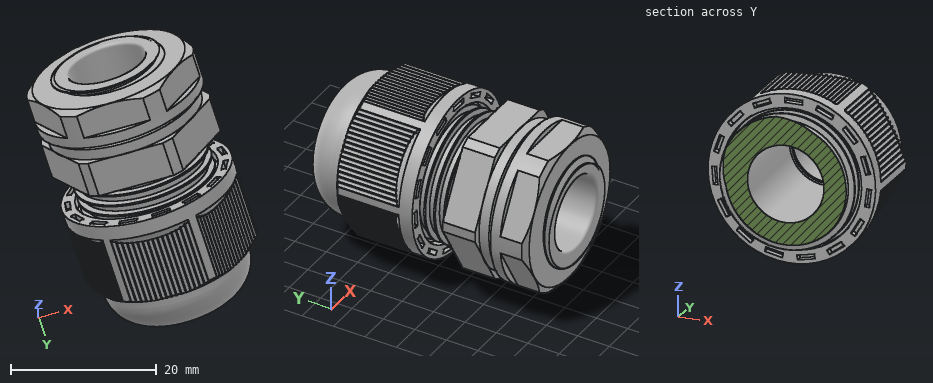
import cadquery as cq
import math


HEX_SIDES = 6
HEX_STEP = 360.0 / HEX_SIDES

TAIL_END = 0.0
NUT_BOTTOM = 1.1
NUT_WASHER = 5.13
NUT_TOP = 6.67
COLLAR_BOTTOM = 7.47
BODY_HEX_BOTTOM = 9.04
BODY_HEX_TOP = 14.16
FLANGE_BOTTOM = 18.9
FLANGE_TOP = 21.04
GRIP_TOP = 31.67
CAP_TOP = 37.92

BORE_R = 5.57
BORE_ENTRY_FILLET = 0.5
LIP_R = 5.12
LIP_LENGTH = 5.0
LIP_LEDGE_R = 5.36

TAIL_ROOT_R = 7.14
TAIL_CREST_R = 8.03
TAIL_PITCH = 1.5
TAIL_BASE_WIDTH = 1.2
TAIL_CREST_WIDTH = 0.15
TAIL_CREST_HEIGHT = 1.17

NUT_R = 11.94
NUT_FLAT = 10.96
NUT_CHAMFER_R = 10.94
NUT_CHAMFER_HEIGHT = 0.6

COLLAR_R = 10.99
BODY_FLAT = 10.86
BODY_CORNER = 12.08

NECK_R = 8.89
NECK_CREST_R = 9.74
NECK_PITCH = 1.57
NECK_BASE_WIDTH = 0.55
NECK_CREST_WIDTH = 0.25
NECK_CREST_HEIGHT = 17.63

CAP_ANGLE = 1.3
FLANGE_R = 12.3
DOME_R = 10.53
DOME_FILLET = 5.0
GRIP_LAND_HALF_ANGLE = 3.0
GRIP_FLAT_HALF_ANGLE = HEX_STEP / 2 - GRIP_LAND_HALF_ANGLE
GRIP_FLAT = FLANGE_R * math.cos(math.radians(GRIP_FLAT_HALF_ANGLE))
GRIP_CHAMFER_HEIGHT = 0.92
SHOULDER_HEIGHT = 1.6
SHOULDER_BULGE = 0.15
GROOVES_PER_FLAT = 16
GROOVE_DEPTH = 0.25
RIDGE_WIDTH = 0.15

RECESS_R = 10.25
RECESS_DEPTH = 1.5

SLOT_COUNT = 15
SLOT_R = 11.29
SLOT_LENGTH = 2.6
SLOT_WIDTH = 0.68
SLOT_DEPTH = 1.0

FUSE_OVERLAP = 0.2
TRIM_MARGIN = 1.0
DIAGONAL = math.sqrt(0.5)


def disc(radius, bottom, top):
    return cq.Workplane("XY").workplane(offset=bottom).circle(radius).extrude(top - bottom)


def hexagon(flat, bottom, top, turn=0.0):
    """Hexagonal prism with flats facing +Y and -Y, turned about its axis."""
    corner_diameter = 2 * flat / math.cos(math.radians(HEX_STEP / 2))
    prism = cq.Workplane("XY").workplane(offset=bottom).polygon(HEX_SIDES, corner_diameter)
    return prism.extrude(top - bottom).rotate((0, 0, 0), (0, 0, 1), turn)


def revolved(points):
    """Solid of revolution from an outline of (radius, height) points."""
    return cq.Workplane("XZ").polyline(points).close().revolve(360, (0, 0, 0), (0, 1, 0))


def polar(radius, angle):
    return (radius * math.cos(math.radians(angle)), radius * math.sin(math.radians(angle)))


def on_flat(distance, along, facing):
    """Point at a distance from the axis and a run along a flat that faces the given angle."""
    return polar(math.hypot(distance, along), facing + math.degrees(math.atan2(along, distance)))


def threaded_rod(
    root_r, crest_r, pitch, base_width, crest_width, crest_height, bottom, top, left_handed=False
):
    """Rod with a helical ridge of trapezoid section, centred at crest_height on the +X side."""
    turns_below = math.ceil((crest_height - bottom) / pitch) + 1
    turns = turns_below + math.ceil((top - crest_height) / pitch) + 1
    start = crest_height - turns_below * pitch
    flank_slope = (base_width - crest_width) / (crest_r - root_r) / 2
    half_crest = crest_width / 2
    half_foot = base_width / 2 + flank_slope * FUSE_OVERLAP
    foot_r = root_r - FUSE_OVERLAP
    helix = cq.Wire.makeHelix(pitch, turns * pitch, foot_r, lefthand=left_handed)
    path = cq.Workplane(obj=helix.moved(cq.Location(cq.Vector(0, 0, start))))
    section = [
        (foot_r, start - half_foot),
        (crest_r, start - half_crest),
        (crest_r, start + half_crest),
        (foot_r, start + half_foot),
    ]
    ridge = cq.Workplane("XZ").polyline(section).close().sweep(path, isFrenet=True)
    rod = disc(root_r, start - pitch, start + (turns + 1) * pitch).union(ridge)
    return rod.intersect(disc(crest_r + TRIM_MARGIN, bottom, top))


def make_tail():
    return threaded_rod(
        TAIL_ROOT_R, TAIL_CREST_R, TAIL_PITCH, TAIL_BASE_WIDTH, TAIL_CREST_WIDTH,
        TAIL_CREST_HEIGHT, TAIL_END, COLLAR_BOTTOM,
    )


def make_nut():
    """Round washer face above a hexagon whose corners are turned and chamfered."""
    blank = revolved([
        (0, NUT_BOTTOM),
        (NUT_CHAMFER_R, NUT_BOTTOM),
        (NUT_R, NUT_BOTTOM + NUT_CHAMFER_HEIGHT),
        (NUT_R, NUT_TOP),
        (0, NUT_TOP),
    ])
    washer_zone = disc(NUT_R + TRIM_MARGIN, NUT_WASHER, NUT_TOP)
    return blank.intersect(hexagon(NUT_FLAT, NUT_BOTTOM, NUT_WASHER).union(washer_zone))


def make_body():
    collar = disc(COLLAR_R, COLLAR_BOTTOM, BODY_HEX_BOTTOM)
    corner_cut = hexagon(BODY_CORNER, BODY_HEX_BOTTOM, BODY_HEX_TOP, turn=HEX_STEP / 2)
    body = hexagon(BODY_FLAT, BODY_HEX_BOTTOM, BODY_HEX_TOP).intersect(corner_cut)
    return collar.union(body)


def make_neck():
    return threaded_rod(
        NECK_R, NECK_CREST_R, NECK_PITCH, NECK_BASE_WIDTH, NECK_CREST_WIDTH,
        NECK_CREST_HEIGHT, BODY_HEX_TOP, FLANGE_BOTTOM + RECESS_DEPTH, left_handed=True,
    )


def make_grip_prism():
    """Prism with six grooved flats separated by smooth round strips."""
    half_flat = FLANGE_R * math.sin(math.radians(GRIP_FLAT_HALF_ANGLE))
    groove_pitch = 2 * half_flat / GROOVES_PER_FLAT
    groove_half_width = (groove_pitch - RIDGE_WIDTH) / 2
    outline = cq.Workplane("XY").workplane(offset=FLANGE_TOP)
    outline = outline.moveTo(*polar(FLANGE_R, -GRIP_FLAT_HALF_ANGLE))
    for side in range(HEX_SIDES):
        facing = side * HEX_STEP
        for groove in range(GROOVES_PER_FLAT):
            middle = -half_flat + (groove + 0.5) * groove_pitch
            outline = outline.lineTo(*on_flat(GRIP_FLAT, middle - groove_half_width, facing))
            outline = outline.threePointArc(
                on_flat(GRIP_FLAT - GROOVE_DEPTH, middle, facing),
                on_flat(GRIP_FLAT, middle + groove_half_width, facing),
            )
        outline = outline.lineTo(*polar(FLANGE_R, facing + GRIP_FLAT_HALF_ANGLE))
        strip_middle = facing + HEX_STEP / 2
        outline = outline.threePointArc(
            polar(FLANGE_R, strip_middle),
            polar(FLANGE_R, strip_middle + GRIP_LAND_HALF_ANGLE),
        )
    prism = outline.close().extrude(GRIP_TOP - FLANGE_TOP)
    return prism.rotate((0, 0, 0), (0, 0, 1), HEX_STEP / 2)


def make_barrel():
    """Round flange and chamfered grip, with a domed shoulder at the foot of the grooves."""
    blank = revolved([
        (0, FLANGE_BOTTOM),
        (FLANGE_R, FLANGE_BOTTOM),
        (FLANGE_R, GRIP_TOP - GRIP_CHAMFER_HEIGHT),
        (GRIP_FLAT, GRIP_TOP),
        (0, GRIP_TOP),
    ])
    flange_zone = disc(FLANGE_R + TRIM_MARGIN, FLANGE_BOTTOM, FLANGE_TOP)
    shoulder_top_r = GRIP_FLAT - GROOVE_DEPTH
    shoulder_top = FLANGE_TOP + SHOULDER_HEIGHT
    bulge_offset = SHOULDER_BULGE * DIAGONAL
    bulge_r = (FLANGE_R + shoulder_top_r) / 2 + bulge_offset
    bulge_height = (FLANGE_TOP + shoulder_top) / 2 + bulge_offset
    shoulder = (
        cq.Workplane("XZ")
        .moveTo(0, FLANGE_TOP)
        .lineTo(FLANGE_R, FLANGE_TOP)
        .threePointArc((bulge_r, bulge_height), (shoulder_top_r, shoulder_top))
        .lineTo(0, shoulder_top)
        .close()
        .revolve(360, (0, 0, 0), (0, 1, 0))
    )
    return blank.intersect(make_grip_prism().union(flange_zone)).union(shoulder)


def make_slots():
    return (
        cq.Workplane("XY")
        .workplane(offset=FLANGE_BOTTOM)
        .polarArray(SLOT_R, -90, 360, SLOT_COUNT)
        .rect(SLOT_WIDTH, SLOT_LENGTH)
        .extrude(SLOT_DEPTH)
    )


def make_cap():
    dome = disc(DOME_R, FLANGE_TOP, CAP_TOP).faces(">Z").edges().fillet(DOME_FILLET)
    recess = disc(RECESS_R, FLANGE_BOTTOM, FLANGE_BOTTOM + RECESS_DEPTH)
    cap = make_barrel().union(dome).cut(make_slots()).cut(recess)
    return cap.rotate((0, 0, 0), (0, 0, 1), CAP_ANGLE)


def make_bore():
    """Through hole with a rounded entry at the tail and a narrower lip in the dome."""
    entry_r = BORE_R + BORE_ENTRY_FILLET
    entry_top = TAIL_END + BORE_ENTRY_FILLET
    taper = BORE_R - LIP_LEDGE_R
    arc_offset = BORE_ENTRY_FILLET * DIAGONAL
    return (
        cq.Workplane("XZ")
        .moveTo(0, TAIL_END)
        .lineTo(entry_r, TAIL_END)
        .threePointArc((entry_r - arc_offset, entry_top - arc_offset), (BORE_R, entry_top))
        .lineTo(BORE_R, CAP_TOP - LIP_LENGTH - taper)
        .lineTo(LIP_LEDGE_R, CAP_TOP - LIP_LENGTH)
        .lineTo(LIP_R, CAP_TOP - LIP_LENGTH)
        .lineTo(LIP_R, CAP_TOP)
        .lineTo(0, CAP_TOP)
        .close()
        .revolve(360, (0, 0, 0), (0, 1, 0))
    )


gland = make_tail().union(make_nut()).union(make_body()).union(make_neck()).union(make_cap())
gland = gland.cut(make_bore())
result = gland.rotate((0, 0, 0), (1, 0, 0), -90)